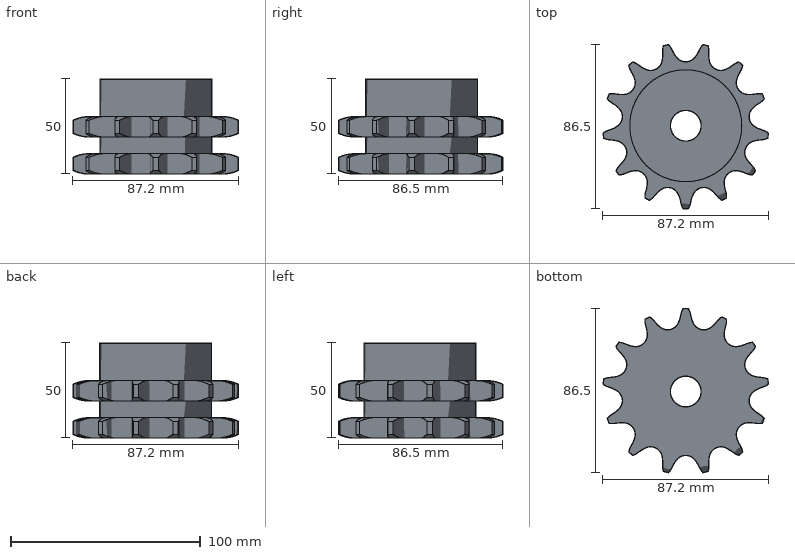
import cadquery as cq
import math

TOOTH_COUNT = 13
PITCH_RADIUS = 39.8
TIP_RADIUS = 43.75
PLATE_THICKNESS = 10.8
STRAND_SPACING = 19.5
HUB_DIAMETER = 59.0
HUB_HEIGHT = 50.0
BORE_DIAMETER = 16.0

SEAT_RADIUS = 6.1
WORKING_RADIUS = 15.8
STRAIGHT_LENGTH = 1.2
TOPPING_RADIUS = 10.1
SEAT_END_ANGLE = 35 + 60 / TOOTH_COUNT
WORKING_ARC_ANGLE = 18 - 56 / TOOTH_COUNT
CUTTER_OVERSHOOT = 1.7

CROWN_START_RADIUS = 35.3
CROWN_ARC_RADIUS = 19.1

TOOTH_ANGLE = 360 / TOOTH_COUNT


def polar(center, radius, angle):
    """Point at a given radius and angle (degrees from +X) around a center."""
    turn = math.radians(angle)
    return center[0] + radius * math.cos(turn), center[1] + radius * math.sin(turn)


def mirrored(point):
    return -point[0], point[1]


def crowned_disc():
    """Plate blank on z = 0 whose rim thins toward the tooth tips along arcs on both faces."""
    rim_reach = TIP_RADIUS - CROWN_START_RADIUS
    mid_reach = rim_reach / 2

    def drop(reach):
        return CROWN_ARC_RADIUS - math.sqrt(CROWN_ARC_RADIUS**2 - reach**2)

    mid_radius = CROWN_START_RADIUS + mid_reach
    rim_drop = drop(rim_reach)
    mid_drop = drop(mid_reach)
    return (
        cq.Workplane("XZ")
        .lineTo(CROWN_START_RADIUS, 0)
        .threePointArc((mid_radius, mid_drop), (TIP_RADIUS, rim_drop))
        .lineTo(TIP_RADIUS, PLATE_THICKNESS - rim_drop)
        .threePointArc((mid_radius, PLATE_THICKNESS - mid_drop), (CROWN_START_RADIUS, PLATE_THICKNESS))
        .lineTo(0, PLATE_THICKNESS)
        .close()
        .revolve(360, (0, 0), (0, 1))
    )


def tooth_gap():
    """Cutter for the space between two teeth, centered on +Y."""
    seat_center = (0, PITCH_RADIUS)
    seat_bottom = polar(seat_center, SEAT_RADIUS, -90)
    seat_end = polar(seat_center, SEAT_RADIUS, -SEAT_END_ANGLE)

    working_center = polar(seat_end, WORKING_RADIUS, 180 - SEAT_END_ANGLE)
    flank_angle = WORKING_ARC_ANGLE - SEAT_END_ANGLE
    working_mid = polar(working_center, WORKING_RADIUS, flank_angle - WORKING_ARC_ANGLE / 2)
    working_end = polar(working_center, WORKING_RADIUS, flank_angle)
    straight_end = polar(working_end, STRAIGHT_LENGTH, flank_angle + 90)

    topping_center = polar(straight_end, TOPPING_RADIUS, flank_angle)
    top_height = TIP_RADIUS + CUTTER_OVERSHOOT
    topping_start_angle = 180 + flank_angle
    rise = (top_height - topping_center[1]) / TOPPING_RADIUS
    topping_end_angle = 180 - math.degrees(math.asin(rise))
    topping_mid_angle = (topping_start_angle + topping_end_angle) / 2
    topping_mid = polar(topping_center, TOPPING_RADIUS, topping_mid_angle)
    topping_end = polar(topping_center, TOPPING_RADIUS, topping_end_angle)

    return (
        cq.Workplane("XY")
        .moveTo(*topping_end)
        .threePointArc(topping_mid, straight_end)
        .lineTo(*working_end)
        .threePointArc(working_mid, seat_end)
        .threePointArc(seat_bottom, mirrored(seat_end))
        .threePointArc(mirrored(working_mid), mirrored(working_end))
        .lineTo(*mirrored(straight_end))
        .threePointArc(mirrored(topping_mid), mirrored(topping_end))
        .close()
        .extrude(PLATE_THICKNESS)
    )


def toothed_plate():
    plate = crowned_disc()
    gap = tooth_gap()
    for index in range(TOOTH_COUNT):
        plate = plate.cut(gap.rotate((0, 0, 0), (0, 0, 1), index * TOOTH_ANGLE))
    return plate


plate = toothed_plate()
hub = cq.Workplane("XY").circle(HUB_DIAMETER / 2).extrude(HUB_HEIGHT)
bore = cq.Workplane("XY").circle(BORE_DIAMETER / 2).extrude(HUB_HEIGHT)

result = hub.union(plate).union(plate.translate((0, 0, STRAND_SPACING))).cut(bore)